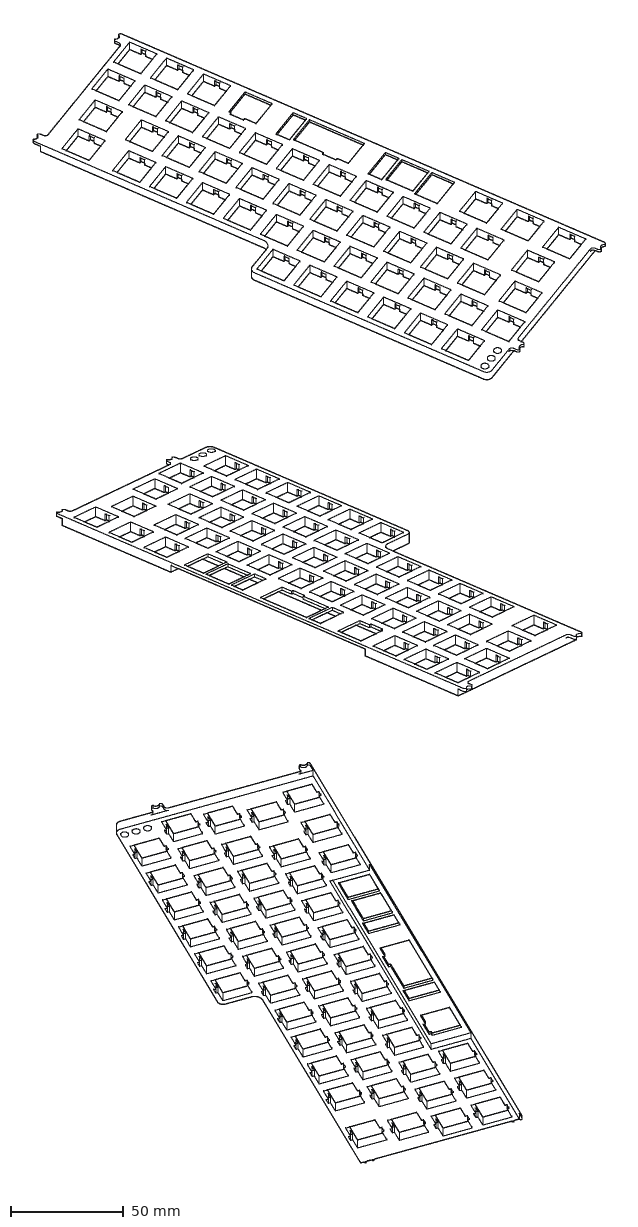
import cadquery as cq

UNIT = 19.05
PLATE_UNITS_X = 12.75
ROW_COUNT = 5
LOWER_LEFT_UNITS = 6.25
THICKNESS = 4.9

PLATE_WIDTH = PLATE_UNITS_X * UNIT
PLATE_DEPTH = ROW_COUNT * UNIT
LEFT = -PLATE_WIDTH / 2
RIGHT = PLATE_WIDTH / 2
BACK = PLATE_DEPTH / 2
FRONT = -PLATE_DEPTH / 2
STEP_X = LEFT + LOWER_LEFT_UNITS * UNIT
STEP_Y = FRONT + UNIT
OUTER_CORNER_RADIUS = 2.7
INNER_CORNER_RADIUS = 3.75

OVERALL_WIDTH = 251.21
EAR_WIDTH = 5.3
EAR_THICKNESS = 1.5
EAR_ROOT_RADIUS = 1.5
EAR_TIP_RADIUS = 1.1
EAR_NOTCH_DIAMETER = 3.5
EAR_NOTCH_DEPTH = 1.1

LONG_BAR_UNITS = 6.25
LONG_BAR_CENTRE = 6.125
LEFT_BAR_CENTRE = 5.375
RIGHT_BAR_CENTRE = 7.875
WIDE_MODIFIER_CENTRE = 3.625

SWITCH_SIZE = 14.0
BAR_ROW_SWITCHES = [WIDE_MODIFIER_CENTRE, LEFT_BAR_CENTRE, LONG_BAR_CENTRE, RIGHT_BAR_CENTRE]
SWITCH_ROWS = [
    [0.5, 1.5, 2.5] + BAR_ROW_SWITCHES + [9.875, 11.0, 12.125],
    [0.5 + key for key in range(11)] + [11.875],
    [0.75] + [2.0 + key for key in range(10)] + [12.125],
    [0.875] + [2.25 + key for key in range(11)],
    [6.75 + key for key in range(6)],
]

SKIN_THICKNESS = 1.5

CLIP_WIDTH = 2.5
CLIP_DEPTH = 1.0

STABILISER_WIDTH = 7.0
STABILISER_BACK = 7.0
STABILISER_FRONT = 8.0
SHORT_BAR_HALF_SPACING = 12.0
LONG_BAR_HALF_SPACING = 50.0
STABILISER_PAIRS = [
    (LEFT_BAR_CENTRE, SHORT_BAR_HALF_SPACING),
    (RIGHT_BAR_CENTRE, SHORT_BAR_HALF_SPACING),
    (LONG_BAR_CENTRE, LONG_BAR_HALF_SPACING),
]

LED_DIAMETER = 3.5
LED_COUNT = 3
LED_ROW_OFFSET = 0.8
LED_PITCH = 5.5
LED_EDGE_DISTANCE = 4.0


def column_x(units):
    return LEFT + units * UNIT


def row_y(row):
    return BACK - (row + 0.5) * UNIT


def box_between(x_min, x_max, y_min, y_max, z_min, z_max):
    corner = (x_min, y_min, z_min)
    block = cq.Workplane("XY").box(x_max - x_min, y_max - y_min, z_max - z_min, centered=False)
    return block.translate(corner)


def round_edge_at(body, x, y, radius):
    """Fillet the vertical edge that stands at (x, y)."""
    edge_middle = (x, y, THICKNESS / 2)
    return body.edges(cq.selectors.NearestToPointSelector(edge_middle)).fillet(radius)


def make_plate():
    outline = [
        (LEFT, BACK),
        (RIGHT, BACK),
        (RIGHT, FRONT),
        (STEP_X, FRONT),
        (STEP_X, STEP_Y),
        (LEFT, STEP_Y),
    ]
    plate = cq.Workplane("XY").polyline(outline).close().extrude(THICKNESS)
    plate = round_edge_at(plate, RIGHT, FRONT, OUTER_CORNER_RADIUS)
    plate = round_edge_at(plate, STEP_X, FRONT, OUTER_CORNER_RADIUS)
    return round_edge_at(plate, STEP_X, STEP_Y, INNER_CORNER_RADIUS)


def make_ear_strip(y_min, y_max):
    """Thin strip across the plate whose two ends form a pair of notched ears."""
    half_width = OVERALL_WIDTH / 2
    z_min = THICKNESS - EAR_THICKNESS
    strip = box_between(-half_width, half_width, y_min, y_max, z_min, THICKNESS)
    strip = strip.edges("|Z").fillet(EAR_TIP_RADIUS)
    notch_x = half_width + EAR_NOTCH_DIAMETER / 2 - EAR_NOTCH_DEPTH
    notch_y = (y_min + y_max) / 2
    notches = (
        cq.Workplane("XY")
        .pushPoints([(-notch_x, notch_y), (notch_x, notch_y)])
        .circle(EAR_NOTCH_DIAMETER / 2)
        .extrude(THICKNESS)
    )
    return strip.cut(notches)


def make_ear_root(side, y, direction):
    """Concave fillet between an ear and the plate side; direction is +1 or -1 along Y."""
    radius = EAR_ROOT_RADIUS
    centre_x = side * (RIGHT + radius)
    centre_y = y + direction * radius
    block = (
        cq.Workplane("XY", origin=(0, 0, THICKNESS - EAR_THICKNESS))
        .center(centre_x - side * radius / 2, centre_y - direction * radius / 2)
        .rect(radius, radius)
        .extrude(EAR_THICKNESS)
    )
    round_tool = cq.Workplane("XY").center(centre_x, centre_y).circle(radius).extrude(THICKNESS)
    return block.cut(round_tool)


def add_ears(plate):
    plate = plate.union(make_ear_strip(BACK - EAR_WIDTH, BACK))
    plate = plate.union(make_ear_strip(STEP_Y, STEP_Y + EAR_WIDTH))
    for side in (-1, 1):
        plate = plate.union(make_ear_root(side, BACK - EAR_WIDTH, -1))
        plate = plate.union(make_ear_root(side, STEP_Y + EAR_WIDTH, 1))
    return plate.union(make_ear_root(1, STEP_Y, -1))


def switch_centres():
    return [
        (column_x(units), row_y(row))
        for row, columns in enumerate(SWITCH_ROWS)
        for units in columns
    ]


def make_switch_cutouts():
    return (
        cq.Workplane("XY")
        .pushPoints(switch_centres())
        .rect(SWITCH_SIZE, SWITCH_SIZE)
        .extrude(THICKNESS)
    )


def make_bar_opening():
    """Joins the cutouts of the left short bar and the long bar, which nearly touch."""
    half_size = SWITCH_SIZE / 2
    return box_between(
        column_x(LEFT_BAR_CENTRE), column_x(LONG_BAR_CENTRE),
        row_y(0) - half_size, row_y(0) + half_size,
        0, THICKNESS,
    )


def make_clip_recesses():
    return (
        cq.Workplane("XY")
        .pushPoints(switch_centres())
        .rect(CLIP_WIDTH, SWITCH_SIZE + 2 * CLIP_DEPTH)
        .extrude(THICKNESS - SKIN_THICKNESS)
    )


def make_bar_pocket():
    """Underside pocket below the long bar, one row deep and open at the back edge."""
    half_units = LONG_BAR_UNITS / 2
    return box_between(
        column_x(LONG_BAR_CENTRE - half_units), column_x(LONG_BAR_CENTRE + half_units),
        BACK - UNIT, BACK,
        0, THICKNESS - SKIN_THICKNESS,
    )


def make_stabiliser_slots():
    length = STABILISER_BACK + STABILISER_FRONT
    y = row_y(0) + (STABILISER_BACK - STABILISER_FRONT) / 2
    centres = [
        (column_x(units) + side * half_spacing, y)
        for units, half_spacing in STABILISER_PAIRS
        for side in (-1, 1)
    ]
    return cq.Workplane("XY").pushPoints(centres).rect(STABILISER_WIDTH, length).extrude(THICKNESS)


def make_led_holes():
    middle = (LED_COUNT - 1) / 2
    centres = [
        (RIGHT - LED_EDGE_DISTANCE, row_y(ROW_COUNT - 1) - LED_ROW_OFFSET + (index - middle) * LED_PITCH)
        for index in range(LED_COUNT)
    ]
    return cq.Workplane("XY").pushPoints(centres).circle(LED_DIAMETER / 2).extrude(THICKNESS)


result = (
    add_ears(make_plate())
    .cut(make_switch_cutouts())
    .cut(make_bar_opening())
    .cut(make_clip_recesses())
    .cut(make_bar_pocket())
    .cut(make_stabiliser_slots())
    .cut(make_led_holes())
)